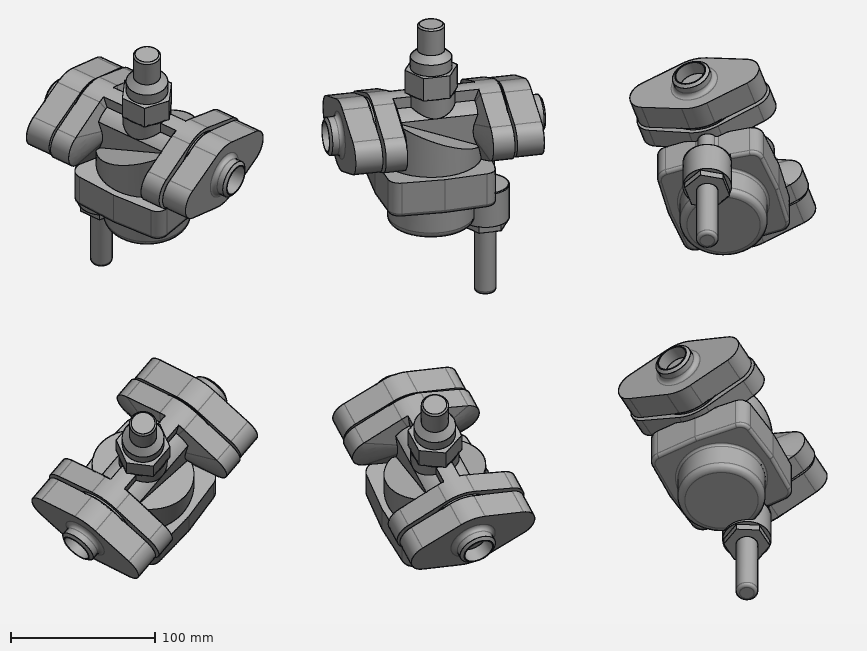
import cadquery as cq
import math

PIPE_RUN_LENGTH = 154.5
PIPE_MID_X = -1.9

BODY_FLANGE_MID_R = 27.3
BODY_FLANGE_TIP_R = 14.0
BODY_FLANGE_TIP_Y = 34.0
BODY_FLANGE_INNER_X = 30.7
BODY_FLANGE_OUTER_X = 46.0
GUSSET_APEX_DEPTH = 10.3
GUSSET_END_SCALE = 0.25

SEAL_FACE_R = 24.4
SEAL_FACE_HEIGHT = 2.0
SEAL_FACE_CHAMFER = 0.6

PIPE_FLANGE_MID_R = 25.5
PIPE_FLANGE_TIP_R = 13.5
PIPE_FLANGE_TIP_Y = 33.5
PIPE_FLANGE_THICKNESS = 19.3
STUB_R = 13.5
STUB_END_R = 11.1
STUB_CHAMFER_LENGTH = 1.7
STUB_FILLET = 3.4
BORE_R = 10.5
BORE_DEPTH = 10.5

BARREL_HALF_WIDTH = 16.8
BARREL_SHOULDER_Z = 12.8
BARREL_TOP_R = 25.2
RIDGE_WIDTH = 12.0

BOWL_R = 35.3
SLANT_ANGLE = 22.2
SLANT_Z_ON_AXIS = 1.0

PLATE_TOP_Z = -23.1
PLATE_BOTTOM_Z = -49.4
PLATE_PEAK = 40.1
PLATE_SIDE_ANGLE = 3.5
PLATE_CORNER_R = 8.5
PLATE_BOTTOM_FILLET = 2.5

CAP_R = 30.3
CAP_BOTTOM_Z = -73.3
CAP_BOTTOM_FILLET = 4.8
CAP_ROOT_FILLET = 1.7

PILOT_X = -38.7
PILOT_R = 16.8
PILOT_BOTTOM_Z = -75.2
PILOT_TOP_CHAMFER = 0.6
POST_R = 6.5
POST_FILLET = 2.7
PILOT_HEX_FLATS = 27.7
PILOT_HEX_BOTTOM_Z = -80.5
ROD_R = 7.5
ROD_BOTTOM_Z = -132.0
ROD_FILLET = 2.5

NECK_R = 16.8
STEM_HEX_FLATS = 32.5
STEM_HEX_TOP_Z = 44.5
COLLAR_R = 14.5
COLLAR_TOP_Z = 53.2
CONE_TOP_Z = 58.2
TIP_R = 9.5
TIP_TOP_Z = 78.2
TIP_CHAMFER = 1.3


def cylinder(radius, bottom_z, top_z, x=0):
    """Vertical cylinder between two heights."""
    return cq.Workplane("XY", origin=(x, 0, bottom_z)).circle(radius).extrude(top_z - bottom_z)


def hexagon(flats, bottom_z, top_z, x=0):
    """Vertical hexagonal prism with two corners on the X direction."""
    corners = flats / math.cos(math.radians(30))
    return cq.Workplane("XY", origin=(x, 0, bottom_z)).polygon(6, corners).extrude(top_z - bottom_z)


def flange_outline(x, mid_r, tip_r, tip_y):
    """Closed outline in a YZ plane: the hull of a middle circle and two tip circles."""
    slope = math.asin((mid_r - tip_r) / tip_y)
    mid_tangent = (mid_r * math.sin(slope), mid_r * math.cos(slope))
    tip_tangent = (tip_y + tip_r * math.sin(slope), tip_r * math.cos(slope))
    return (
        cq.Workplane("YZ", origin=(x, 0, 0))
        .moveTo(-mid_tangent[0], mid_tangent[1])
        .threePointArc((0, mid_r), mid_tangent)
        .lineTo(*tip_tangent)
        .threePointArc((tip_y + tip_r, 0), (tip_tangent[0], -tip_tangent[1]))
        .lineTo(mid_tangent[0], -mid_tangent[1])
        .threePointArc((0, -mid_r), (-mid_tangent[0], -mid_tangent[1]))
        .lineTo(-tip_tangent[0], -tip_tangent[1])
        .threePointArc((-tip_y - tip_r, 0), (-tip_tangent[0], tip_tangent[1]))
        .close()
    )


def body_flange_outline(x, scale=1.0):
    """Outline of a body flange, optionally shrunk about the pipe axis."""
    return flange_outline(
        x, BODY_FLANGE_MID_R * scale, BODY_FLANGE_TIP_R * scale, BODY_FLANGE_TIP_Y * scale
    )


def facing_left(part):
    """Copy of a +X part mirrored about the middle of the pipe run."""
    return part.mirror("YZ", (PIPE_MID_X, 0, 0))


def make_body_flange():
    """The +X flange with its raised face and its back tapering toward the barrel."""
    inner_x = PIPE_MID_X + BODY_FLANGE_INNER_X
    outer_x = PIPE_MID_X + BODY_FLANGE_OUTER_X
    plate = body_flange_outline(inner_x).extrude(outer_x - inner_x)
    seal_face = (
        cq.Workplane("YZ", origin=(outer_x, 0, 0))
        .circle(SEAL_FACE_R)
        .extrude(SEAL_FACE_HEIGHT)
        .faces(">X")
        .chamfer(SEAL_FACE_CHAMFER)
    )
    gusset_end_x = inner_x - GUSSET_APEX_DEPTH * (1 - GUSSET_END_SCALE)
    gusset = cq.Solid.makeLoft(
        [
            body_flange_outline(inner_x).val(),
            body_flange_outline(gusset_end_x, GUSSET_END_SCALE).val(),
        ],
        True,
    )
    return plate.union(seal_face).union(cq.Workplane(gusset))


def make_barrel():
    """Flat-sided barrel with a rounded top, between the two body flanges."""
    arc_center_z = BARREL_SHOULDER_Z - math.sqrt(BARREL_TOP_R**2 - BARREL_HALF_WIDTH**2)
    return (
        cq.Workplane("YZ", origin=(PIPE_MID_X - BODY_FLANGE_INNER_X, 0, 0))
        .moveTo(-BARREL_HALF_WIDTH, -BARREL_HALF_WIDTH)
        .lineTo(-BARREL_HALF_WIDTH, BARREL_SHOULDER_Z)
        .threePointArc((0, arc_center_z + BARREL_TOP_R), (BARREL_HALF_WIDTH, BARREL_SHOULDER_Z))
        .lineTo(BARREL_HALF_WIDTH, -BARREL_HALF_WIDTH)
        .close()
        .extrude(2 * BODY_FLANGE_INNER_X)
    )


def make_ridge():
    """Rib along the barrel, flush with the rounded tops of the body flanges."""
    length = 2 * BODY_FLANGE_INNER_X
    slab = cq.Workplane("XY", origin=(PIPE_MID_X, 0, 0)).box(
        length, RIDGE_WIDTH, BODY_FLANGE_MID_R, centered=(True, True, False)
    )
    return slab.intersect(body_flange_outline(PIPE_MID_X - BODY_FLANGE_INNER_X).extrude(length))


def make_bowl():
    """Vertical cylinder whose top is a plane rising toward +X."""
    rise = BOWL_R * math.tan(math.radians(SLANT_ANGLE))
    side_profile = [
        (-BOWL_R, PLATE_TOP_Z),
        (BOWL_R, PLATE_TOP_Z),
        (BOWL_R, SLANT_Z_ON_AXIS + rise),
        (-BOWL_R, SLANT_Z_ON_AXIS - rise),
    ]
    wedge = cq.Workplane("XZ").polyline(side_profile).close().extrude(BOWL_R, both=True)
    return wedge.intersect(cylinder(BOWL_R, PLATE_TOP_Z, BOWL_R))


def make_plate():
    """Cover plate with a post on its -X side and a pad that the pilot runs into."""
    corner = PLATE_PEAK / (1 + math.tan(math.radians(PLATE_SIDE_ANGLE)))
    outline = [
        (PLATE_PEAK, 0),
        (corner, corner),
        (0, PLATE_PEAK),
        (-corner, corner),
        (-PLATE_PEAK, 0),
        (-corner, -corner),
        (0, -PLATE_PEAK),
        (corner, -corner),
    ]
    sharp_plate = (
        cq.Workplane("XY", origin=(0, 0, PLATE_BOTTOM_Z))
        .polyline(outline)
        .close()
        .extrude(PLATE_TOP_Z - PLATE_BOTTOM_Z)
        .edges("|Z")
        .filter(lambda edge: min(abs(edge.Center().x), abs(edge.Center().y)) > corner / 2)
        .fillet(PLATE_CORNER_R)
    )
    post_joints = cq.selectors.BoxSelector(
        (PILOT_X - POST_R, -POST_R, PLATE_BOTTOM_Z), (PILOT_X, POST_R, PLATE_TOP_Z)
    )
    plate_with_post = (
        sharp_plate.union(cylinder(POST_R, PLATE_BOTTOM_Z, PLATE_TOP_Z, PILOT_X))
        .edges("|Z")
        .edges(post_joints)
        .filter(lambda edge: abs(edge.Center().y) > POST_R / 2)
        .fillet(POST_FILLET)
    )
    pilot_pad = plate_with_post.intersect(cylinder(PILOT_R, PLATE_BOTTOM_Z, PLATE_TOP_Z, PILOT_X))
    return sharp_plate.faces("<Z").edges().fillet(PLATE_BOTTOM_FILLET).union(pilot_pad)


def make_cap():
    """Round cap flaring into the plate above and rounded at its bottom."""
    flare_r = CAP_R + CAP_ROOT_FILLET
    return (
        cq.Workplane("XZ")
        .moveTo(0, CAP_BOTTOM_Z)
        .lineTo(CAP_R - CAP_BOTTOM_FILLET, CAP_BOTTOM_Z)
        .radiusArc((CAP_R, CAP_BOTTOM_Z + CAP_BOTTOM_FILLET), -CAP_BOTTOM_FILLET)
        .lineTo(CAP_R, PLATE_BOTTOM_Z - CAP_ROOT_FILLET)
        .radiusArc((flare_r, PLATE_BOTTOM_Z), CAP_ROOT_FILLET)
        .lineTo(0, PLATE_BOTTOM_Z)
        .close()
        .revolve(360, (0, 0), (0, 1))
    )


def make_pilot():
    """Pilot cylinder with a hexagon and a rod below it."""
    barrel = cylinder(PILOT_R, PILOT_BOTTOM_Z, PLATE_BOTTOM_Z, PILOT_X).faces(">Z").chamfer(PILOT_TOP_CHAMFER)
    nut = hexagon(PILOT_HEX_FLATS, PILOT_HEX_BOTTOM_Z, PILOT_BOTTOM_Z, PILOT_X)
    rod = cylinder(ROD_R, ROD_BOTTOM_Z, PILOT_HEX_BOTTOM_Z, PILOT_X).faces("<Z").edges().fillet(ROD_FILLET)
    return barrel.union(nut).union(rod)


def make_body():
    flange = make_body_flange()
    body = make_barrel().union(flange).union(facing_left(flange)).union(make_ridge())
    body = body.union(cylinder(NECK_R, 0, BODY_FLANGE_MID_R)).union(make_bowl())
    return body.union(make_plate()).union(make_cap()).union(make_pilot())


def make_stem():
    """Hexagon, collar, cone and tip standing on the neck."""
    stem = (
        cq.Workplane("XZ")
        .polyline(
            [
                (0, STEM_HEX_TOP_Z),
                (COLLAR_R, STEM_HEX_TOP_Z),
                (COLLAR_R, COLLAR_TOP_Z),
                (TIP_R, CONE_TOP_Z),
                (TIP_R, TIP_TOP_Z),
                (0, TIP_TOP_Z),
            ]
        )
        .close()
        .revolve(360, (0, 0), (0, 1))
        .faces(">Z")
        .chamfer(TIP_CHAMFER)
    )
    return stem.union(hexagon(STEM_HEX_FLATS, BODY_FLANGE_MID_R, STEM_HEX_TOP_Z))


def make_pipe_flange():
    """The +X pipe flange with a blind-bored stub for the pipe."""
    inner_x = PIPE_MID_X + BODY_FLANGE_OUTER_X + SEAL_FACE_HEIGHT
    outer_x = inner_x + PIPE_FLANGE_THICKNESS
    end_x = PIPE_MID_X + PIPE_RUN_LENGTH / 2
    flange = flange_outline(
        inner_x, PIPE_FLANGE_MID_R, PIPE_FLANGE_TIP_R, PIPE_FLANGE_TIP_Y
    ).extrude(PIPE_FLANGE_THICKNESS)
    stub = (
        cq.Workplane("XY")
        .moveTo(outer_x, 0)
        .lineTo(outer_x, STUB_R + STUB_FILLET)
        .radiusArc((outer_x + STUB_FILLET, STUB_R), -STUB_FILLET)
        .lineTo(end_x - STUB_CHAMFER_LENGTH, STUB_R)
        .lineTo(end_x, STUB_END_R)
        .lineTo(end_x, 0)
        .close()
        .revolve(360, (0, 0), (1, 0))
    )
    bore = cq.Workplane("YZ", origin=(end_x - BORE_DEPTH, 0, 0)).circle(BORE_R).extrude(BORE_DEPTH)
    return flange.union(stub).cut(bore)


body = make_body()
stem = make_stem()
pipe_flange = make_pipe_flange()
pipe_flanges = [pipe_flange, facing_left(pipe_flange)]

result = cq.Compound.makeCompound([body.val(), stem.val(), *[flange.val() for flange in pipe_flanges]])